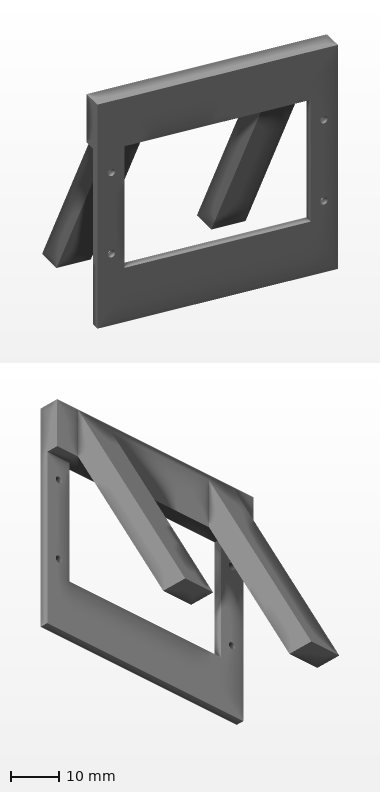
import cadquery as cq
import math


LEG_LENGTH = 65.0
LEG_TILT = math.radians(30.0)
LEG_WIDTH = 8.0
HEIGHT = LEG_LENGTH * math.cos(LEG_TILT)
LEG_REACH = LEG_LENGTH * math.sin(LEG_TILT)

BLOCK_DEPTH = 5.0
BLOCK_HEIGHT = 11.55
WEB_DEPTH = 1.45

PLATE_WIDTH = 56.07
PLATE_THICKNESS = 2.0
PLATE_BOTTOM = 2.65
LEG_INSET = 6.0
FRAME_WIDTH = PLATE_WIDTH - 2 * LEG_INSET
LEG_GAP = FRAME_WIDTH - 2 * LEG_WIDTH

WINDOW_WIDTH = 43.4
WINDOW_BOTTOM = 15.6
WINDOW_TOP = HEIGHT - BLOCK_HEIGHT

HOLE_DIAMETER = 1.7
HOLE_SPACING_Y = 49.5
HOLE_SPACING_Z = 19.45
HOLE_BOTTOM = 19.75


def box(x_range, width, z_range):
    """Box centred on Y = 0 between the given X and Z limits."""
    x_min, x_max = x_range
    z_min, z_max = z_range
    return (
        cq.Workplane("XY")
        .box(x_max - x_min, width, z_max - z_min, centered=(False, True, False))
        .translate((x_min, 0, z_min))
    )


def make_legs():
    """Sloped slab split into two legs, with a narrow web left at the block."""
    block_front = -BLOCK_DEPTH
    toe = block_front - LEG_REACH
    heel = toe + BLOCK_HEIGHT * math.tan(LEG_TILT)
    slab = (
        cq.Workplane("XZ")
        .polyline([
            (block_front, HEIGHT),
            (toe, 0),
            (heel, 0),
            (block_front, HEIGHT - BLOCK_HEIGHT),
        ])
        .close()
        .extrude(FRAME_WIDTH / 2, both=True)
    )
    gap = box((toe, block_front - WEB_DEPTH), LEG_GAP, (0, HEIGHT))
    return slab.cut(gap)


def make_plate():
    """Upright plate with its window and four mounting holes."""
    plate = box((-PLATE_THICKNESS, 0), PLATE_WIDTH, (PLATE_BOTTOM, HEIGHT))
    window = box((-PLATE_THICKNESS, 0), WINDOW_WIDTH, (WINDOW_BOTTOM, WINDOW_TOP))
    holes = (
        cq.Workplane("YZ", origin=(-PLATE_THICKNESS, 0, HOLE_BOTTOM + HOLE_SPACING_Z / 2))
        .rarray(HOLE_SPACING_Y, HOLE_SPACING_Z, 2, 2)
        .circle(HOLE_DIAMETER / 2)
        .extrude(PLATE_THICKNESS)
    )
    return plate.cut(window).cut(holes)


def make_block():
    """Full-width block along the top edge of the plate."""
    return box((-BLOCK_DEPTH, 0), PLATE_WIDTH, (HEIGHT - BLOCK_HEIGHT, HEIGHT))


result = make_plate().union(make_block()).union(make_legs())